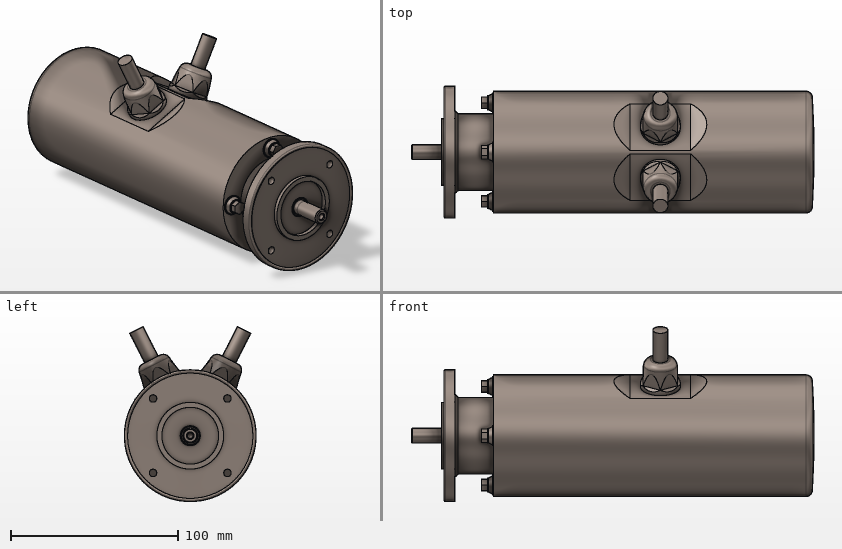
import cadquery as cq
import math

TOTAL_LENGTH = 241.0

SHAFT_DIA = 9.0
SHAFT_TIP_DIA = 7.65
CENTRE_HOLE_DIA = 3.43
CENTRE_HOLE_MOUTH_DIA = 4.5
CENTRE_HOLE_DEPTH = 10.0
CENTRE_HOLE_TIP_ANGLE = 120.0

SPIGOT_X = 18.0
SPIGOT_DIA = 40.0
SPIGOT_HEIGHT = 2.5
SPIGOT_RECESS_DIA = 34.0
SPIGOT_RECESS_DEPTH = 3.0
SEAL_RECESS_DIA = 12.0
SEAL_RECESS_DEPTH = 0.3
SHAFT_GAP_DIA = 10.8
SHAFT_GAP_DEPTH = 0.2

FLANGE_X = SPIGOT_X + SPIGOT_HEIGHT
FLANGE_DIA = 79.0
FLANGE_FACE_DIA = 75.0
FLANGE_THICKNESS = 5.5
FLANGE_HOLE_DIA = 4.5
FLANGE_HOLE_CIRCLE_DIA = 63.0

NECK_X = FLANGE_X + FLANGE_THICKNESS
NECK_DIA = 46.0
NECK_CHAMFER = 2.0

HOUSING_X = 49.0
HOUSING_DIA = 73.0
HOUSING_END_X = 240.0
HOUSING_END_FILLET = 4.0

SCREW_COUNT = 4
SCREW_CIRCLE_DIA = 59.0
SCREW_TIP_X = 41.9
SCREW_HEX_FLATS = 7.0
SCREW_HEX_LENGTH = 3.6
SCREW_COLLAR_DIA = 8.5
SCREW_COLLAR_LENGTH = 0.6
SCREW_CONE_DIA = 10.8
SCREW_WASHER_DIA = 12.0
SCREW_WASHER_THICKNESS = 0.6

GLAND_X = 149.0
GLAND_TILT = 27.0
SEAT_RADIUS = 33.0
SEAT_LENGTH = 36.3
SEAT_END_SLOPE = 20.0

GLAND_DIA = 24.0
GLAND_BASE_HEIGHT = 3.6
GLAND_HEIGHT = 18.2
GLAND_TAPER = 10.0
GLAND_TOP_FILLET = 4.2
GLAND_HEX_CORNERS = GLAND_DIA
CABLE_DIA = 9.0
CABLE_END_RADIUS = 71.0


def disc(x, diameter, length):
    """Cylinder along +X that starts at x."""
    return cq.Workplane("YZ", origin=(x, 0, 0)).circle(diameter / 2).extrude(length)


def tilt_over_motor(shape, tilt):
    """Move a shape built upright about Z to the gland position and tilt it about the motor axis."""
    return shape.translate((GLAND_X, 0, 0)).rotate((0, 0, 0), (1, 0, 0), tilt)


def turned_motor():
    """Shaft, spigot, flange, neck and housing as one turned shape."""
    shaft_r = SHAFT_DIA / 2
    shaft_tip_r = SHAFT_TIP_DIA / 2
    housing_r = HOUSING_DIA / 2
    dome_r = housing_r - HOUSING_END_FILLET
    dome_height = TOTAL_LENGTH - HOUSING_END_X
    dome_curve = (dome_r**2 + dome_height**2) / (2 * dome_height)
    bead_r = (FLANGE_DIA - FLANGE_FACE_DIA) / 4
    profile = (
        cq.Workplane("XZ")
        .moveTo(0, 0)
        .lineTo(0, shaft_tip_r)
        .lineTo(shaft_r - shaft_tip_r, shaft_r)
        .lineTo(SPIGOT_X, shaft_r)
        .lineTo(SPIGOT_X, SPIGOT_DIA / 2)
        .lineTo(FLANGE_X, SPIGOT_DIA / 2)
        .lineTo(FLANGE_X, FLANGE_FACE_DIA / 2)
        .radiusArc((FLANGE_X - bead_r, FLANGE_DIA / 2 - bead_r), bead_r)
        .radiusArc((FLANGE_X, FLANGE_DIA / 2), bead_r)
        .lineTo(NECK_X, FLANGE_DIA / 2)
        .lineTo(NECK_X, NECK_DIA / 2 + NECK_CHAMFER)
        .lineTo(NECK_X + NECK_CHAMFER, NECK_DIA / 2)
        .lineTo(HOUSING_X, NECK_DIA / 2)
        .lineTo(HOUSING_X, housing_r)
        .lineTo(HOUSING_END_X - HOUSING_END_FILLET, housing_r)
        .radiusArc((HOUSING_END_X, dome_r), HOUSING_END_FILLET)
        .radiusArc((TOTAL_LENGTH, 0), dome_curve)
        .close()
    )
    return profile.revolve(360, (0, 0, 0), (1, 0, 0))


def front_recess(diameter, x, depth):
    """Ring-shaped recess around the shaft."""
    return disc(x, diameter, depth).cut(disc(x, SHAFT_DIA, depth))


def centre_hole():
    """Drilled hole in the shaft tip with a 45 degree mouth and a conical bottom."""
    hole_r = CENTRE_HOLE_DIA / 2
    mouth_r = CENTRE_HOLE_MOUTH_DIA / 2
    tip_length = hole_r / math.tan(math.radians(CENTRE_HOLE_TIP_ANGLE / 2))
    return (
        cq.Workplane("XY")
        .polyline(
            [
                (0, 0),
                (0, mouth_r),
                (mouth_r - hole_r, hole_r),
                (CENTRE_HOLE_DEPTH, hole_r),
                (CENTRE_HOLE_DEPTH + tip_length, 0),
            ]
        )
        .close()
        .revolve(360, (0, 0, 0), (1, 0, 0))
    )


def flange_holes():
    return (
        cq.Workplane("YZ", origin=(FLANGE_X, 0, 0))
        .polarArray(FLANGE_HOLE_CIRCLE_DIA / 2, 45, 360, 4)
        .circle(FLANGE_HOLE_DIA / 2)
        .extrude(FLANGE_THICKNESS)
    )


def screw():
    """Hexagon screw with a round collar, a cone and a thin washer, at the top of the screw circle."""
    corners = SCREW_HEX_FLATS / math.cos(math.radians(30))
    collar_x = SCREW_TIP_X + SCREW_HEX_LENGTH
    cone_x = collar_x + SCREW_COLLAR_LENGTH
    hexagon = cq.Workplane("YZ", origin=(SCREW_TIP_X, 0, 0)).polygon(6, corners).extrude(SCREW_HEX_LENGTH)
    washer_x = HOUSING_X - SCREW_WASHER_THICKNESS
    collar = disc(collar_x, SCREW_COLLAR_DIA, SCREW_COLLAR_LENGTH)
    cone = (
        cq.Workplane("YZ", origin=(cone_x, 0, 0))
        .circle(SCREW_COLLAR_DIA / 2)
        .workplane(offset=washer_x - cone_x)
        .circle(SCREW_CONE_DIA / 2)
        .loft(ruled=True)
    )
    washer = disc(washer_x, SCREW_WASHER_DIA, SCREW_WASHER_THICKNESS)
    return hexagon.union(collar).union(cone).union(washer).translate((0, 0, SCREW_CIRCLE_DIA / 2))


def cable_seat(tilt):
    """Cutter for a flat seat with sloping ends across the top of the housing."""
    rise = HOUSING_DIA / 2
    half_base = SEAT_LENGTH / 2
    half_top = half_base + rise / math.tan(math.radians(SEAT_END_SLOPE))
    cutter = (
        cq.Workplane("XZ")
        .polyline(
            [
                (-half_base, SEAT_RADIUS),
                (half_base, SEAT_RADIUS),
                (half_top, SEAT_RADIUS + rise),
                (-half_top, SEAT_RADIUS + rise),
            ]
        )
        .close()
        .extrude(HOUSING_DIA / 2, both=True)
    )
    return tilt_over_motor(cutter, tilt)


def make_motor():
    motor = turned_motor()
    motor = motor.cut(front_recess(SPIGOT_RECESS_DIA, SPIGOT_X, SPIGOT_RECESS_DEPTH))
    seal_x = SPIGOT_X + SPIGOT_RECESS_DEPTH
    motor = motor.cut(front_recess(SEAL_RECESS_DIA, seal_x, SEAL_RECESS_DEPTH))
    motor = motor.cut(front_recess(SHAFT_GAP_DIA, seal_x, SEAL_RECESS_DEPTH + SHAFT_GAP_DEPTH))
    motor = motor.cut(centre_hole())
    motor = motor.cut(flange_holes())
    for i in range(SCREW_COUNT):
        motor = motor.union(screw().rotate((0, 0, 0), (1, 0, 0), i * 360 / SCREW_COUNT))
    for tilt in (-GLAND_TILT, GLAND_TILT):
        motor = motor.cut(cable_seat(tilt))
    return motor


def make_gland(tilt):
    """Tapered gland with a hexagonal grip, together with its cable."""
    taper_height = GLAND_HEIGHT - GLAND_BASE_HEIGHT
    base_r = GLAND_DIA / 2
    top_r = base_r - taper_height * math.tan(math.radians(GLAND_TAPER))
    body = (
        cq.Workplane("XZ")
        .polyline([(0, 0), (base_r, 0), (base_r, GLAND_BASE_HEIGHT), (top_r, GLAND_HEIGHT), (0, GLAND_HEIGHT)])
        .close()
        .revolve(360, (0, 0, 0), (0, 1, 0))
        .faces(">Z")
        .edges()
        .fillet(GLAND_TOP_FILLET)
    )
    hexagon = cq.Workplane("XY", origin=(0, 0, GLAND_BASE_HEIGHT)).transformed(rotate=(0, 0, 90))
    flats = hexagon.polygon(6, GLAND_HEX_CORNERS).extrude(taper_height)
    flare = hexagon.polygon(6, GLAND_HEX_CORNERS).extrude(-GLAND_BASE_HEIGHT, taper=-45)
    cable = cq.Workplane("XY").circle(CABLE_DIA / 2).extrude(CABLE_END_RADIUS - SEAT_RADIUS)
    gland = body.intersect(flats.union(flare)).union(cable).translate((0, 0, SEAT_RADIUS))
    return tilt_over_motor(gland, tilt)


motor = make_motor()
glands = [make_gland(tilt) for tilt in (-GLAND_TILT, GLAND_TILT)]

result = cq.Compound.makeCompound([motor.val(), *[gland.val() for gland in glands]])